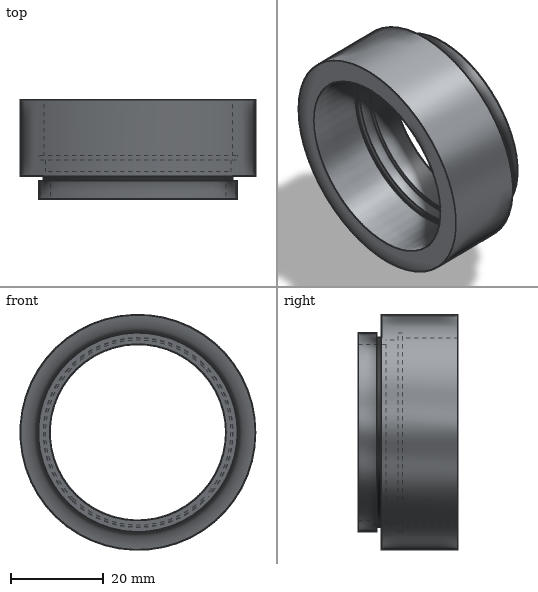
import cadquery as cq

body_diameter = 50.8
lip_diameter = 43.0
neck_diameter = 41.0
front_bore_diameter = 37.95
middle_bore_diameter = 40.0
inner_groove_diameter = 43.0
rear_bore_diameter = 40.8

total_length = 21.5
lip_length = 4.0
neck_length = 0.95
front_bore_length = 6.0
middle_bore_length = 2.5
inner_groove_length = 1.0

body_start = lip_length + neck_length
body_length = total_length - body_start
inner_groove_start = front_bore_length + middle_bore_length
rear_bore_start = inner_groove_start + inner_groove_length
rear_bore_length = total_length - rear_bore_start


def cylinder(diameter, start, length):
    """Solid cylinder along +Y, beginning at Y = start."""
    plane = cq.Workplane("XZ", origin=(0, start, 0))
    return plane.circle(diameter / 2).extrude(-length)


lip = cylinder(lip_diameter, 0, lip_length)
neck = cylinder(neck_diameter, lip_length, neck_length)
body = cylinder(body_diameter, body_start, body_length)
outside = lip.union(neck).union(body)

front_bore = cylinder(front_bore_diameter, 0, front_bore_length)
middle_bore = cylinder(middle_bore_diameter, front_bore_length, middle_bore_length)
inner_groove = cylinder(inner_groove_diameter, inner_groove_start, inner_groove_length)
rear_bore = cylinder(rear_bore_diameter, rear_bore_start, rear_bore_length)
inside = front_bore.union(middle_bore).union(inner_groove).union(rear_bore)

result = outside.cut(inside)